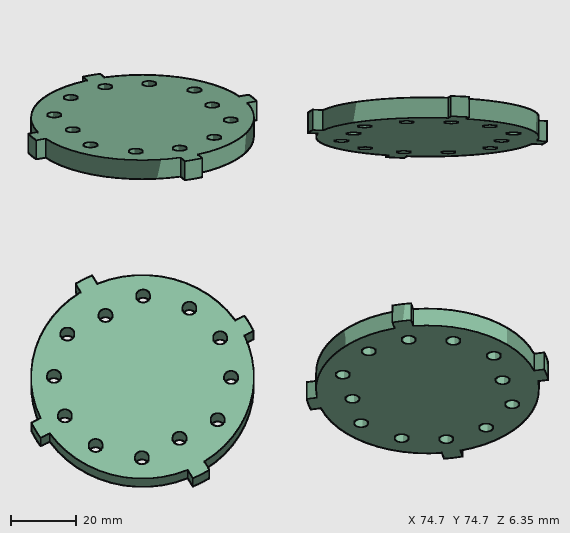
import cadquery as cq
import math

thickness = 6.35
overall_diameter = 74.65
disc_diameter = 68.27
tab_width = 5.83

hole_diameter = 4.32
hole_circle_radius = 27.1
off_axis_hole_angle = 29.2
inset_hole_radius = 23.5


def make_cylinder(diameter):
    """Full-thickness cylinder about the part centre."""
    return cq.Workplane("XY").circle(diameter / 2).extrude(thickness)


def make_tabs():
    """Crossed bars whose outer ends are rounded to the overall circle."""
    bar_along_x = cq.Workplane("XY").rect(overall_diameter, tab_width).extrude(thickness)
    bar_along_y = cq.Workplane("XY").rect(tab_width, overall_diameter).extrude(thickness)
    return bar_along_x.union(bar_along_y).intersect(make_cylinder(overall_diameter))


def hole_centres():
    """One hole on each half-axis and two holes in each quadrant."""
    angle = math.radians(off_axis_hole_angle)
    short_offset = hole_circle_radius * math.sin(angle)
    long_offset = hole_circle_radius * math.cos(angle)
    centres = []
    for x_side in (1, -1):
        centres.append((x_side * hole_circle_radius, 0))
        for y_side in (1, -1):
            centres.append((x_side * short_offset, y_side * long_offset))
            centres.append((x_side * long_offset, y_side * short_offset))
    for y_side in (1, -1):
        centres.append((0, y_side * inset_hole_radius))
    return centres


def make_holes():
    """Cutters for the ring of through holes."""
    return cq.Workplane("XY").pushPoints(hole_centres()).circle(hole_diameter / 2).extrude(thickness)


result = make_cylinder(disc_diameter).union(make_tabs()).cut(make_holes())